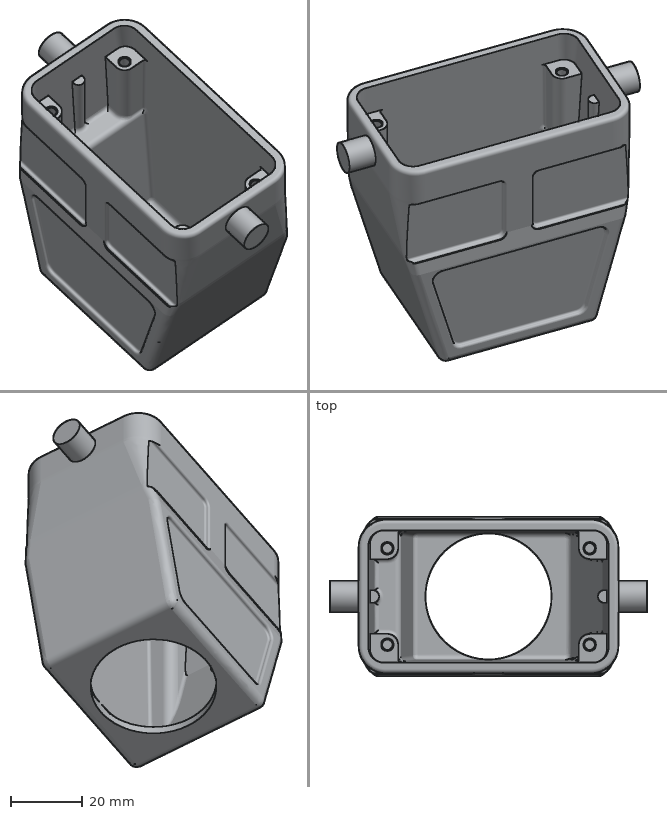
import cadquery as cq

pin_span = 89.2
height = 72.1

step_low_z = 35.5
waist_z = 40.6
rim_low_z = 61.0

waist_bevel = 0.8
rim_bevel = 0.45

base_half_x = 23.8
waist_half_x = 34.4
rim_half_x = 36.6
lower_half_y = 22.5
rim_half_y = 21.6
lower_corner = 2.4
waist_corner = 2.9
rim_corner = 7.7
rim_round = 1.2
base_round = 2.3

floor_z = 2.7
mouth_half_x = 33.8
mouth_half_y = 18.6
mouth_corner = 4.5
cavity_waist_half_x = 32.0
cavity_floor_half_x = 22.9
cavity_floor_half_y = 17.75
cavity_low_corner = 1.5
cavity_floor_round = 1.4

shelf_z = waist_z
shelf_top_x = -24.7
shelf_floor_x = -21.1
shelf_edge_round = 1.8
shelf_root_round = 1.25

post_top_z = 62.6
post_x = 28.45
post_y = 13.6
post_radius = 3.0
post_root_round = 0.9
screw_diameter = 2.9
screw_mouth_diameter = 3.6
screw_depth = 17.8

rib_top_z = 61.55
rib_radius = 1.8
rib_tip_x = 30.8
rib_length = 5.35

pin_radius = 4.5
pin_z = 65.8
pin_embed = 0.9
entry_diameter = 35.4

recess_depth = 1.3
recess_round = 0.6

window_inner_x = 4.4
window_low_z = 40.1
window_high_z = 60.5
window_corner = 1.8
window_block_overhang = 5.35

panel_low_z = 5.0
panel_high_z = 34.3
panel_margin = 5.3
panel_corner = 2.85

pick_margin = 0.1


def between(z, low_z, high_z, low_value, high_value):
    """Value at height z on a straight line from one level to another."""
    return low_value + (high_value - low_value) * (z - low_z) / (high_z - low_z)


def outer_half_x(z):
    """Half width of the tapered end walls at height z, below the rim."""
    if z < waist_z:
        return between(z, 0, waist_z, base_half_x, waist_half_x)
    return between(z, waist_z, rim_low_z, waist_half_x, rim_half_x)


def stacked_loft(sections):
    """Straight-sided loft through rounded rectangles (z, half_x, half_y, corner)."""
    sketches = [
        cq.Sketch().rect(2 * hx, 2 * hy).vertices().fillet(r).moved(cq.Location(cq.Vector(0, 0, z)))
        for z, hx, hy, r in sections
    ]
    return cq.Workplane("XY").placeSketch(*sketches).loft(ruled=True)


def make_shell():
    """Outer shell: tapered body, step at the waist, upright rim."""
    step_high_z = waist_z + waist_bevel
    waist_half_y = between(waist_z - waist_bevel, step_low_z, step_high_z, lower_half_y, rim_half_y)
    shell = stacked_loft([
        (0, base_half_x, lower_half_y, lower_corner),
        (step_low_z, outer_half_x(step_low_z), lower_half_y, lower_corner),
        (waist_z - waist_bevel, outer_half_x(waist_z - waist_bevel), waist_half_y, waist_corner),
        (waist_z + waist_bevel, outer_half_x(waist_z + waist_bevel), rim_half_y, waist_corner),
        (rim_low_z - rim_bevel, outer_half_x(rim_low_z - rim_bevel), rim_half_y, rim_corner),
        (rim_low_z + rim_bevel, rim_half_x, rim_half_y, rim_corner),
        (height, rim_half_x, rim_half_y, rim_corner),
    ])
    return shell.faces(">Z").edges().fillet(rim_round).faces("<Z").edges().fillet(base_round)


def make_shelf():
    """Thick lower part of the -X wall, with a rounded top edge and a drafted face."""
    outline = [
        (-rim_half_x, 0),
        (-rim_half_x, shelf_z),
        (shelf_top_x, shelf_z),
        (shelf_floor_x, floor_z),
        (shelf_floor_x, 0),
    ]
    shelf = cq.Workplane("XZ").polyline(outline).close().extrude(rim_half_y, both=True)
    top_edge = cq.selectors.NearestToPointSelector((shelf_top_x, 0, shelf_z))
    return shelf.edges(top_edge).fillet(shelf_edge_round)


def make_post(side_x, side_y):
    """Corner post running down to the cavity floor, rounded about its screw hole."""
    reach = rim_half_x - post_x
    block = (
        cq.Workplane("XY")
        .rect(post_radius + reach, post_radius + reach)
        .extrude(post_top_z)
        .translate(((reach - post_radius) / 2, (reach - post_radius) / 2, 0))
        .edges("|Z and <X and <Y")
        .fillet(post_radius)
    )
    if side_x < 0:
        block = block.mirror("YZ")
    if side_y < 0:
        block = block.mirror("XZ")
    return block.translate((side_x * post_x, side_y * post_y, 0))


def make_rib(side_x):
    """Half-round guide rib standing against an end wall."""
    rib = cq.Workplane("XY").slot2D(2 * rib_length, 2 * rib_radius).extrude(rib_top_z)
    return rib.translate((side_x * (rib_tip_x + rib_length), 0, 0))


def cut_post(cavity, side_x, side_y):
    """Take a corner post out of the cavity and round its root along the side wall."""
    root_x = side_x * (post_x - post_radius)
    root_y = side_y * mouth_half_y
    root = cq.selectors.NearestToPointSelector((root_x, root_y, (shelf_z + post_top_z) / 2))
    cavity = cavity.cut(make_post(side_x, side_y))
    return cavity.edges(root).fillet(post_root_round)


def make_cavity():
    """Inner space left free by the shelf, ribs and posts."""
    cavity_waist_half_y = between(waist_z, floor_z, height, cavity_floor_half_y, mouth_half_y)
    cavity = stacked_loft([
        (floor_z, cavity_floor_half_x, cavity_floor_half_y, cavity_low_corner),
        (waist_z, cavity_waist_half_x, cavity_waist_half_y, cavity_low_corner),
        (height, mouth_half_x, mouth_half_y, mouth_corner),
    ])
    cavity = cavity.cut(make_shelf())
    cavity = cavity.faces("<Z").edges().fillet(cavity_floor_round)
    for side_x in (-1, 1):
        cavity = cavity.cut(make_rib(side_x))
        for side_y in (-1, 1):
            cavity = cut_post(cavity, side_x, side_y)

    shelf_root = cq.selectors.BoxSelector(
        (-rim_half_x, -rim_half_y, shelf_z - pick_margin),
        (shelf_top_x - shelf_edge_round, rim_half_y, shelf_z + pick_margin),
    )
    return cavity.edges(shelf_root).fillet(shelf_root_round)


def make_screw_holes():
    """Blind holes in the post tops, each with a small countersink."""
    centers = [(side_x * post_x, side_y * post_y) for side_x in (-1, 1) for side_y in (-1, 1)]
    countersink_depth = (screw_mouth_diameter - screw_diameter) / 2
    post_tops = cq.Workplane("XY").workplane(offset=post_top_z).pushPoints(centers)
    holes = post_tops.circle(screw_diameter / 2).extrude(-screw_depth)
    mouths = post_tops.circle(screw_mouth_diameter / 2).extrude(-countersink_depth, taper=45)
    return holes.union(mouths)


def make_pins():
    """Locking pins standing out of both end walls, rooted inside the wall."""
    pin_start = mouth_half_x + pin_embed
    pin = (
        cq.Workplane("YZ")
        .workplane(offset=pin_start)
        .center(0, pin_z)
        .circle(pin_radius)
        .extrude(pin_span / 2 - pin_start)
    )
    return pin.union(pin.mirror("YZ"))


def window_block(depth, margin):
    """Block over the -Y, +X window, grown by margin on all sides but its open outer end."""
    inner_x = window_inner_x - margin
    size_x = rim_half_x - inner_x
    size_y = depth + window_block_overhang
    size_z = window_high_z - window_low_z + 2 * margin
    block = cq.Workplane("XY").box(size_x, size_y, size_z)
    block = block.edges("|Y and <X").fillet(window_corner + margin)
    center_y = depth - rim_half_y - size_y / 2
    return block.translate((inner_x + size_x / 2, center_y, (window_high_z + window_low_z) / 2))


def make_window():
    """Recess cutter for the -Y, +X window with a rounded floor and a flared, rounded mouth."""
    window = window_block(recess_depth, 0).faces(">Y").edges("not >X").fillet(recess_round)
    window = window.union(window_block(0, 2 * recess_round))
    mouth_edges = cq.selectors.BoxSelector(
        (window_inner_x - pick_margin, -rim_half_y - pick_margin, window_low_z - pick_margin),
        (rim_half_x - pick_margin, -rim_half_y + pick_margin, window_high_z + pick_margin),
    )
    window = window.edges(mouth_edges).fillet(recess_round)
    return window.intersect(window_block(recess_depth, recess_round))


def make_panel():
    """Trapezoidal recess on the -Y side, its slanted ends parallel to the end walls."""
    low_half_x = outer_half_x(panel_low_z) - panel_margin
    high_half_x = outer_half_x(panel_high_z) - panel_margin
    outline = [
        (-low_half_x, panel_low_z),
        (low_half_x, panel_low_z),
        (high_half_x, panel_high_z),
        (-high_half_x, panel_high_z),
    ]
    return (
        cq.Workplane("XZ")
        .workplane(offset=lower_half_y - recess_depth)
        .polyline(outline)
        .close()
        .extrude(2 * recess_depth)
        .edges("|Y")
        .fillet(panel_corner)
        .faces(">Y")
        .edges()
        .fillet(recess_round)
    )


def round_panel_edges(body):
    """Round the sharp edges around both panels."""
    edges = []
    for side in ("<Y", ">Y"):
        for opening in body.faces(side).val().innerWires():
            edges += opening.Edges()
    return body.newObject(edges).fillet(recess_round)


window = make_window()
window_pair = window.union(window.mirror("YZ"))
panel = make_panel()
entry = cq.Workplane("XY").circle(entry_diameter / 2).extrude(2 * floor_z)

body = make_shell()
body = body.cut(window_pair).cut(window_pair.mirror("XZ"))
body = body.cut(panel).cut(panel.mirror("XZ"))
body = round_panel_edges(body)
body = body.union(make_pins())
result = body.cut(make_cavity()).cut(make_screw_holes()).cut(entry)